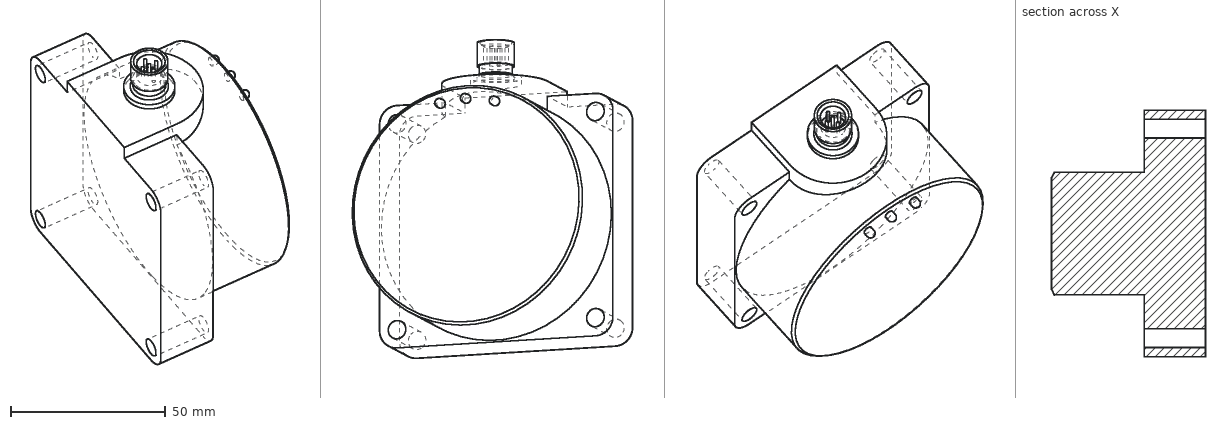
import cadquery as cq
import math

plate_side = 80.0
plate_depth = 20.0
plate_corner_radius = 6.0
mounting_hole_diameter = 6.0
mounting_hole_pitch = 68.0

head_diameter = 78.9
head_end = 50.0
head_chamfer = 0.9

boss_radius = 17.5
boss_axis_y = 20.5
boss_top = 45.0

lamp_circle_radius = 35.0
lamp_angles = (-16.4, 0.0, 14.5)
lamp_diameter = 3.0
lamp_height = 3.0
lamp_rounding = 1.4

connector_top = plate_side / -2 + 98.5
flange_diameter = 16.6
flange_thickness = 2.0
collar_diameter = 12.1
collar_length = 7.7
neck_diameter = 10.8
cone_base_diameter = 12.4
cone_height = 1.0
socket_mouth_diameter = 10.2
socket_diameter = 8.2
socket_lead_in = 1.0
socket_depth = 6.9
pin_diameter = 1.0
pin_length = 5.7
pin_spacing = 2.6
pin_rounding = 0.4


def y_cylinder(diameter, start, end, x=0, z=0):
    """Cylinder along +Y between two Y positions."""
    return cq.Workplane(cq.Solid.makeCylinder(
        diameter / 2, end - start, cq.Vector(x, start, z), cq.Vector(0, 1, 0)
    ))


def make_plate():
    plate = (
        cq.Workplane("XY")
        .box(plate_side, plate_depth, plate_side)
        .translate((0, plate_depth / 2, 0))
        .edges("|Y").fillet(plate_corner_radius)
    )
    for x_side in (-1, 1):
        for z_side in (-1, 1):
            plate = plate.cut(y_cylinder(
                mounting_hole_diameter, 0, plate_depth,
                x_side * mounting_hole_pitch / 2, z_side * mounting_hole_pitch / 2,
            ))
    return plate


def make_head():
    head = y_cylinder(head_diameter, plate_depth / 2, head_end)
    return head.faces(">Y").chamfer(head_chamfer)


def make_boss():
    return (
        cq.Workplane("XY")
        .moveTo(-boss_radius, 0)
        .lineTo(boss_radius, 0)
        .lineTo(boss_radius, boss_axis_y)
        .threePointArc((0, boss_axis_y + boss_radius), (-boss_radius, boss_axis_y))
        .close()
        .extrude(boss_top)
    )


def make_lamp(angle):
    x = lamp_circle_radius * math.sin(math.radians(angle))
    z = lamp_circle_radius * math.cos(math.radians(angle))
    lamp = y_cylinder(lamp_diameter, head_end - head_chamfer, head_end + lamp_height, x, z)
    return lamp.faces(">Y").edges().fillet(lamp_rounding)


def make_housing():
    housing = make_plate().union(make_head()).union(make_boss())
    for angle in lamp_angles:
        housing = housing.union(make_lamp(angle))
    return housing


def make_connector_shell():
    flange_top = boss_top + flange_thickness
    cone_top = flange_top + cone_height
    collar_bottom = connector_top - collar_length
    lead_in_bottom = connector_top - socket_lead_in
    socket_floor = connector_top - socket_depth
    section = [
        (0, boss_top),
        (flange_diameter / 2, boss_top),
        (flange_diameter / 2, flange_top),
        (cone_base_diameter / 2, flange_top),
        (neck_diameter / 2, cone_top),
        (neck_diameter / 2, collar_bottom),
        (collar_diameter / 2, collar_bottom),
        (collar_diameter / 2, connector_top),
        (socket_mouth_diameter / 2, connector_top),
        (socket_diameter / 2, lead_in_bottom),
        (socket_diameter / 2, socket_floor),
        (0, socket_floor),
    ]
    shell = cq.Workplane("XZ").polyline(section).close().revolve(360, (0, 0), (0, 1))
    return shell.translate((0, boss_axis_y, 0))


def make_connector():
    connector = make_connector_shell()
    pin_root = connector_top - socket_depth - flange_thickness
    pin_top = connector_top - socket_depth + pin_length
    for column, row in ((0, 0), (1, 0), (-1, 0), (0, 1), (0, -1)):
        pin = (
            cq.Workplane("XY", origin=(column * pin_spacing, boss_axis_y + row * pin_spacing, pin_root))
            .circle(pin_diameter / 2)
            .extrude(pin_top - pin_root)
            .faces(">Z").edges().fillet(pin_rounding)
        )
        connector = connector.union(pin)
    return connector


housing = make_housing()
connector = make_connector()

result = cq.Compound.makeCompound([housing.val(), connector.val()])